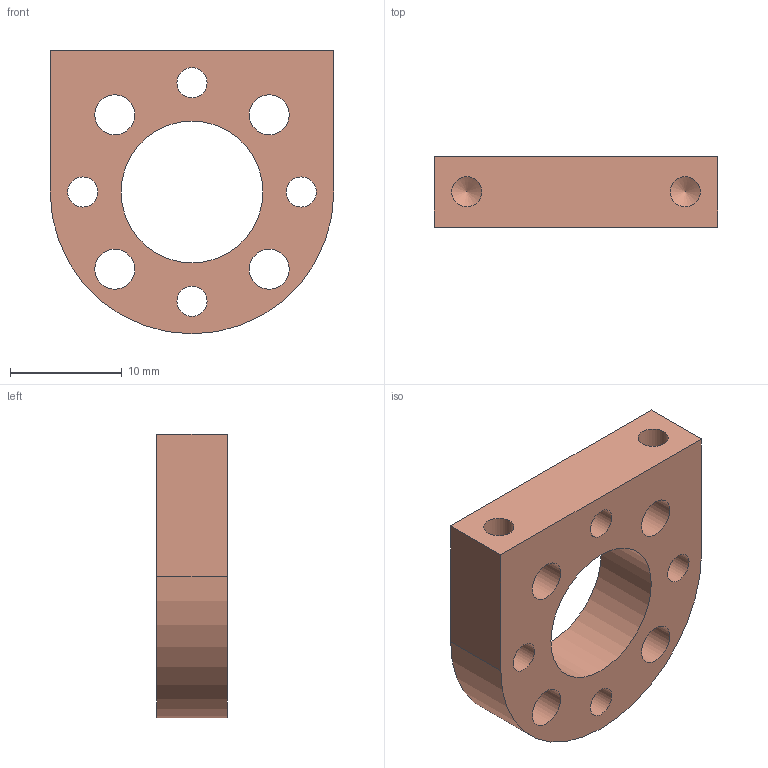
import cadquery as cq
import math

width = 25.4
thickness = 6.35
bore_diameter = 12.7
pattern_radius = 9.779
clearance_hole_diameter = 3.57
tapped_hole_diameter = 2.705
holes_per_ring = 4
edge_hole_depth = 3.5
drill_point_angle = 118.0

outer_radius = width / 2
top_z = outer_radius
tapped_hole_radius = tapped_hole_diameter / 2
drill_point_length = tapped_hole_radius / math.tan(math.radians(drill_point_angle / 2))
ring_offset_angle = 180 / holes_per_ring


def near_face():
    """Workplane on the -Y face; the plate lies on its +Y side."""
    return cq.Workplane("XZ", origin=(0, -thickness / 2, 0))


def make_body():
    """Square-topped plate with a full half-round lower end, centred in thickness."""
    return (
        near_face()
        .moveTo(-outer_radius, top_z)
        .lineTo(-outer_radius, 0)
        .threePointArc((0, -outer_radius), (outer_radius, 0))
        .lineTo(outer_radius, top_z)
        .close()
        .extrude(-thickness)
    )


def make_bore():
    """Central bore through the plate."""
    return near_face().circle(bore_diameter / 2).extrude(-thickness)


def make_hole_ring(diameter, start_angle):
    """Through holes evenly spaced around the bore."""
    return (
        near_face()
        .polarArray(pattern_radius, start_angle, 360, holes_per_ring)
        .circle(diameter / 2)
        .extrude(-thickness)
    )


def make_edge_hole(x):
    """Blind drilled hole with a conical end, going down from the flat top edge."""
    shoulder_z = top_z - edge_hole_depth
    profile = (
        cq.Workplane("XZ")
        .moveTo(0, top_z)
        .lineTo(tapped_hole_radius, top_z)
        .lineTo(tapped_hole_radius, shoulder_z)
        .lineTo(0, shoulder_z - drill_point_length)
        .close()
    )
    return profile.revolve(360, (0, 0, 0), (0, 1, 0)).translate((x, 0, 0))


result = make_body().cut(make_bore())
result = result.cut(make_hole_ring(tapped_hole_diameter, 0))
result = result.cut(make_hole_ring(clearance_hole_diameter, ring_offset_angle))
for side in (-1, 1):
    result = result.cut(make_edge_hole(side * pattern_radius))